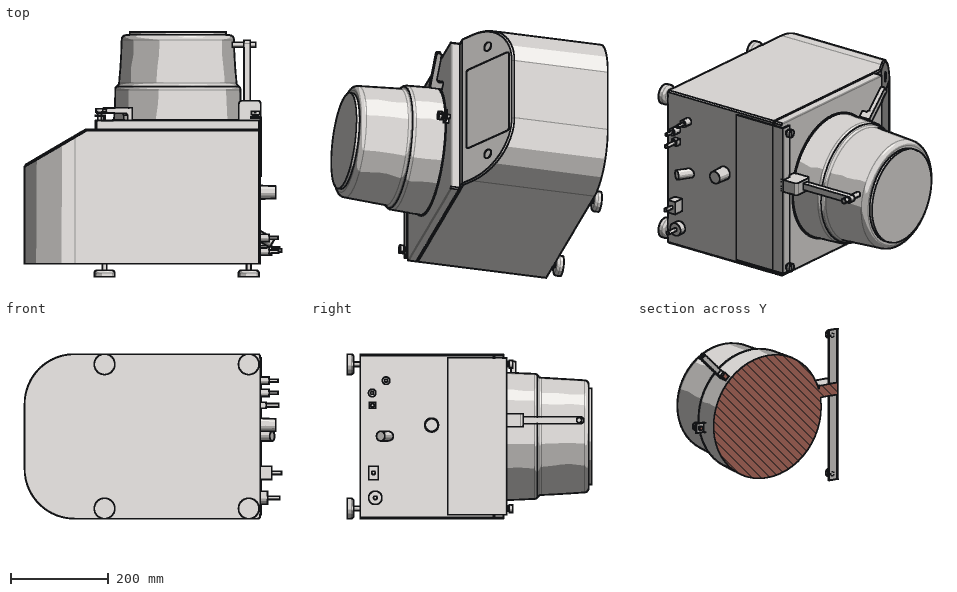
import cadquery as cq
import math

EAST = cq.Vector(1, 0, 0)
UP = cq.Vector(0, 1, 0)

housing_depth = 336.5
housing_length = 481.5
half_width = housing_depth / 2
housing_right = half_width
housing_left = housing_right - housing_length
housing_height = 274.5
front_corner_radius = 102.5
slope_top_x = -188.0
slope_foot_height = 201.0
edge_chamfer = 3.0

recess_depth = 1.0
display_length = 180.5
display_width = 120.5
display_corner_radius = 5.0
button_diameter = 19.5
button_offset = 123.5

foot_xs = (-149.5, 145.0)
foot_radius = 21.0
foot_z = half_width - foot_radius
foot_bottom = -27.0
foot_shoulder = -18.5
foot_top = -13.0
foot_top_radius = 14.5
foot_stem_radius = 4.5

plug_diameter = 15.0
plug_length = 18.5
plug_pin_diameter = 6.5
plug_reach = 37.0
plug_places = ((53.0, 114.0), (24.5, 88.5))
cable_diameter = 7.5
small_socket_y, small_socket_z = 25.0, 63.5
small_socket_side = 12.5
small_socket_length = 12.0
small_socket_reach = 38.5
outlet_root_diameter = 28.5
outlet_tip_diameter = 25.5
outlet_length = 32.0
outlet_y, outlet_z = 146.0, 23.0
spout_diameter = 20.0
spout_y, spout_z = 56.0, 0.5
spout_length = 28.5
spout_angle = math.radians(30)
spout_root = 16.0
valve_y, valve_z = 27.5, -74.5
valve_height = 19.0
valve_width = 27.5
valve_length = 23.5
valve_reach = 43.5
gland_diameter = 27.5
gland_length = 15.0
gland_y, gland_z = 31.0, -125.5
gland_reach = 40.5

lid_top = 293.0
lid_edge_fillet = 1.5
rim_radius = 133.0
rim_top = 294.5
drum_base_radius = 130.5
drum_shoulder_radius = 128.0
drum_shoulder_y = 355.5
shoulder_arc_end = (125.0, 361.5)
shoulder_arc_radius = 6.5
neck_arc_start = (123.0, 364.0)
neck_arc_radius = 6.5
drum_neck_radius = 120.0
drum_neck_y = 370.0
drum_crown_radius = 115.0
drum_crown_y = 457.0
drum_top = 467.0
cap_radius = 98.5
cap_top = 473.5

strip_thickness = 2.5
strip_right = housing_right + strip_thickness
strip_bottom = 179.0
strip_top = 299.5
strip_flange_left = 149.0
strip_half_length = 160.0

screw_head_radius = 8.5
screw_head_height = 7.5
screw_neck_radius = 4.0
screw_collar_radius = 6.0
screw_collar_height = 0.8
screw_collar_gap = 1.85
screw_slot_width = 2.0
screw_slot_depth = 3.5
hinge_screw_x = 158.5
hinge_screw_z = 147.5
hinge_screw_head_y = 304.5
latch_screw_x = -159.5
latch_screw_head_y = 309.5

bracket_left = -half_width
bracket_right = -148.5
bracket_top = 303.5
bracket_thickness = 2.5
bracket_width = 20.0

clamp_inner = 136.5
clamp_outer = 211.5
clamp_leg = 13.5
clamp_width = 11.0
clamp_under = 307.5
clamp_top = 318.0
clamp_tip_chamfer = 2.5
clamp_inside_chamfer = 4.5
clamp_angle = -135

arm_z = 33.0
block_left, block_right = 125.0, 169.5
block_top = 333.5
block_depth = 26.0
block_fillet = 6.5
arm_left, arm_right = 135.0, 148.0
arm_top = 456.5
arm_depth = 13.5
arm_end_fillet = 6.5
arm_pin_left, arm_pin_right = 111.0, 159.5
arm_pin_y = 447.0
arm_pin_radius = 5.0


def block(x_range, y_range, z_range):
    """Axis-aligned box between two limits on each axis."""
    lows, highs = zip(x_range, y_range, z_range)
    size = [high - low for low, high in zip(lows, highs)]
    return cq.Workplane("XY").box(*size, centered=False).translate(lows)


def rod(radius, length, start, direction):
    """Cylinder of a given length from a start point along a direction."""
    return cq.Workplane(cq.Solid.makeCylinder(radius, length, cq.Vector(*start), direction))


def about(middle, width):
    """Limits of a span centred on a middle value."""
    return (middle - width / 2, middle + width / 2)


def slope_normal():
    """Outward direction of the sloping front top."""
    return cq.Vector(slope_foot_height - housing_height, slope_top_x - housing_left, 0)


def housing_shell():
    """Prism with two round front corners and a sloping front top."""
    middle_x = (housing_left + housing_right) / 2
    shell = (
        cq.Workplane("XY").box(housing_length, housing_height, housing_depth)
        .translate((middle_x, housing_height / 2, 0))
        .edges("|Y and <X").fillet(front_corner_radius)
        .edges("|Y and >X").chamfer(edge_chamfer)
    )
    wedge = (
        cq.Workplane("XY")
        .moveTo(slope_top_x, housing_height)
        .lineTo(housing_left, slope_foot_height)
        .lineTo(housing_left, housing_height)
        .close()
        .extrude(half_width, both=True)
    )
    shell = shell.cut(wedge)
    top_edges = shell.faces(">Y").edges("not <X").vals()
    slope_edges = shell.faces(cq.selectors.ParallelDirSelector(slope_normal())).edges("not >X").vals()
    return shell.newObject(top_edges + slope_edges).chamfer(edge_chamfer)


def panel_recesses():
    """Display and two button recesses, sunk square to the sloping panel."""
    middle = ((housing_left + slope_top_x) / 2, (housing_height + slope_foot_height) / 2, 0)
    panel = cq.Workplane(cq.Plane(origin=middle, xDir=(0, 0, 1), normal=slope_normal()))
    display = (
        panel.rect(display_length, display_width).extrude(-recess_depth)
        .edges(cq.selectors.ParallelDirSelector(panel.plane.zDir))
        .fillet(display_corner_radius)
    )
    buttons = (
        panel.pushPoints([(-button_offset, 0), (button_offset, 0)])
        .circle(button_diameter / 2).extrude(-recess_depth)
    )
    return display.union(buttons)


def foot(x, z):
    """Stem and domed pad turned about a vertical axis."""
    profile = (
        cq.Workplane("ZY")
        .moveTo(0, 0)
        .lineTo(foot_stem_radius, 0)
        .lineTo(foot_stem_radius, foot_top)
        .lineTo(foot_top_radius, foot_top)
        .radiusArc((foot_radius, foot_shoulder), foot_radius - foot_top_radius)
        .lineTo(foot_radius, foot_bottom)
        .lineTo(0, foot_bottom)
        .close()
    )
    return profile.revolve(360, (0, 0, 0), (0, 1, 0)).translate((x, 0, z))


def rear_rod(diameter, length, y, z):
    """Cylinder standing out of the back of the housing."""
    return rod(diameter / 2, length, (housing_right, y, z), EAST)


def rear_box(length, height, width, y, z):
    """Box standing out of the back of the housing."""
    return block((housing_right, housing_right + length), about(y, height), about(z, width))


def connectors():
    """Everything that plugs into the back of the housing."""
    parts = []
    for y, z in plug_places:
        parts.append(rear_rod(plug_diameter, plug_length, y, z))
        parts.append(rear_rod(plug_pin_diameter, plug_reach, y, z))

    socket_size = (small_socket_length, small_socket_side, small_socket_side)
    parts.append(rear_box(*socket_size, small_socket_y, small_socket_z))
    parts.append(rear_rod(cable_diameter, small_socket_reach, small_socket_y, small_socket_z))

    outlet_start = cq.Vector(housing_right, outlet_y, outlet_z)
    outlet_radii = (outlet_root_diameter / 2, outlet_tip_diameter / 2)
    parts.append(cq.Workplane(cq.Solid.makeCone(*outlet_radii, outlet_length, outlet_start, EAST)))

    parts.append(rear_box(valve_length, valve_height, valve_width, valve_y, valve_z))
    parts.append(rear_rod(cable_diameter, valve_reach, valve_y, valve_z))

    parts.append(rear_rod(gland_diameter, gland_length, gland_y, gland_z))
    parts.append(rear_rod(cable_diameter, gland_reach, gland_y, gland_z))

    spout_axis = cq.Vector(math.cos(spout_angle), -math.sin(spout_angle), 0)
    spout_start = cq.Vector(housing_right, spout_y, spout_z) - spout_axis * spout_root
    parts.append(rod(spout_diameter / 2, spout_root + spout_length, spout_start.toTuple(), spout_axis))
    return parts


def make_housing():
    housing = housing_shell().cut(panel_recesses())
    for x in foot_xs:
        for z in (-foot_z, foot_z):
            housing = housing.union(foot(x, z))
    for connector in connectors():
        housing = housing.union(connector)
    return housing


def lid_plate():
    """Square plate with chamfered corners and a softened top edge."""
    side = (-half_width, half_width)
    return (
        block(side, (housing_height, lid_top), side)
        .edges("|Y").chamfer(edge_chamfer)
        .faces(">Y").edges().fillet(lid_edge_fillet)
    )


def drum():
    """Tapered, stepped drum with a rim at its foot and a flat cap."""
    crown_fillet = drum_top - drum_crown_y
    profile = (
        cq.Workplane("ZY")
        .moveTo(0, lid_top)
        .lineTo(rim_radius, lid_top)
        .lineTo(rim_radius, rim_top)
        .lineTo(drum_base_radius, rim_top)
        .lineTo(drum_shoulder_radius, drum_shoulder_y)
        .radiusArc(shoulder_arc_end, -shoulder_arc_radius)
        .lineTo(*neck_arc_start)
        .radiusArc((drum_neck_radius, drum_neck_y), neck_arc_radius)
        .lineTo(drum_crown_radius, drum_crown_y)
        .radiusArc((drum_crown_radius - crown_fillet, drum_top), -crown_fillet)
        .lineTo(cap_radius, drum_top)
        .lineTo(cap_radius, cap_top)
        .lineTo(0, cap_top)
        .close()
    )
    return profile.revolve(360, (0, 0, 0), (0, 1, 0))


def hinge_strip():
    """Bent strip: a flange over the lid and a leaf down the back."""
    along = (-strip_half_length, strip_half_length)
    flange = block((strip_flange_left, strip_right), (strip_top - strip_thickness, strip_top), along)
    leaf = block((housing_right, strip_right), (strip_bottom, strip_top), along)
    return flange.union(leaf).edges("|Z and >X and >Y").fillet(strip_thickness)


def thumbscrew(x, z, seat_y, head_y, slot_turn=0):
    """Slotted screw on a seat, with a collar under its head; the slot runs along Z unless turned."""
    collar_y = head_y - screw_collar_gap - screw_collar_height
    head_top = head_y + screw_head_height
    neck = rod(screw_neck_radius, head_y - seat_y, (x, seat_y, z), UP)
    collar = rod(screw_collar_radius, screw_collar_height, (x, collar_y, z), UP)
    head = rod(screw_head_radius, screw_head_height, (x, head_y, z), UP)
    slot = (
        block(
            about(0, screw_slot_width),
            (head_top - screw_slot_depth, head_top),
            about(0, 2 * screw_head_radius),
        )
        .rotate((0, 0, 0), (0, 1, 0), slot_turn)
        .translate((x, 0, z))
    )
    return neck.union(collar).union(head.cut(slot))


def latch_bracket():
    """Bent tab that holds the latch screw."""
    across = about(0, bracket_width)
    tab = block((bracket_left, bracket_right), (bracket_top - bracket_thickness, bracket_top), across)
    leg = block((bracket_right - bracket_thickness, bracket_right), (lid_top, bracket_top), across)
    return tab.union(leg)


def corner_clamp():
    """L-shaped clamp, set along X and swung onto the lid diagonal."""
    across = about(0, clamp_width)
    leg = block((clamp_inner, clamp_inner + clamp_leg), (lid_top, clamp_top), across)
    finger = block((clamp_inner, clamp_outer), (clamp_under, clamp_top), across)
    finger = finger.edges("|Z and >X").chamfer(clamp_tip_chamfer)
    inside_corner = cq.selectors.NearestToPointSelector((clamp_inner + clamp_leg, clamp_under, 0))
    clamp = leg.union(finger).edges(inside_corner).chamfer(clamp_inside_chamfer)
    return clamp.rotate((0, 0, 0), (0, 1, 0), clamp_angle)


def side_arm():
    """Upright arm on a rounded block, with a cross pin near its top."""
    base = (
        block((block_left, block_right), (lid_top, block_top), about(arm_z, block_depth))
        .edges("|Z and >Y").fillet(block_fillet)
    )
    arm = (
        block((arm_left, arm_right), (lid_top, arm_top), about(arm_z, arm_depth))
        .edges("|X and >Y").fillet(arm_end_fillet)
    )
    pin = rod(arm_pin_radius, arm_pin_right - arm_pin_left, (arm_pin_left, arm_pin_y, arm_z), EAST)
    return base.union(arm).union(pin)


def make_lid():
    lid = lid_plate().union(drum()).union(hinge_strip())
    for z in (-hinge_screw_z, hinge_screw_z):
        lid = lid.union(thumbscrew(hinge_screw_x, z, strip_top, hinge_screw_head_y))
    lid = lid.union(latch_bracket())
    lid = lid.union(thumbscrew(latch_screw_x, 0, lid_top, latch_screw_head_y, slot_turn=90))
    return lid.union(corner_clamp()).union(side_arm())


housing = make_housing()
lid = make_lid()
result = cq.Compound.makeCompound([housing.solids().val(), lid.solids().val()])